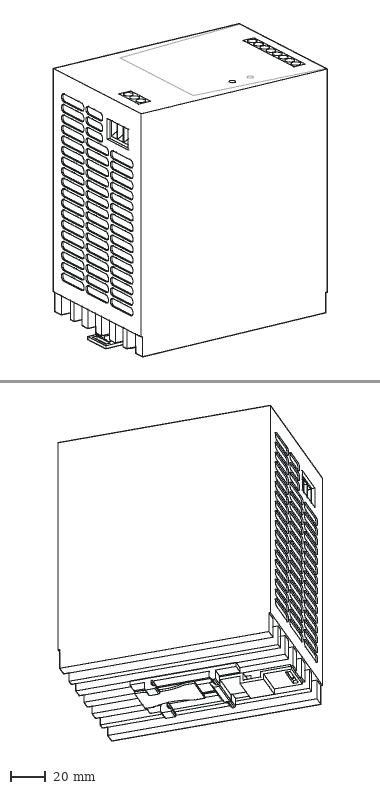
import cadquery as cq


width = 90.0
depth = 130.0
top_z = 150.1
front_y = -depth / 2
back_y = depth / 2
fin_height = 12.5
fin_end_inset = 1.0
outer_fin_width = 7.0
thin_fin_width = 4.0
thick_fin_width = 6.0
thin_fin_x = 27.0
thick_fin_x = 14.0

vent_rows = 18
vent_width = 23.0
vent_height = 5.0
vent_depth = 1.0
vent_column_pitch = 25.0
vent_row_span = 110.5
vent_row_pitch = vent_row_span / (vent_rows - 1)
top_vent_z = 135.3
short_vent_rows = 3
short_vent_width = 17.0

label_back_width = 87.7
label_front_width = 74.6
label_front_y = -23.5
light_diameter = 3.7
light_x = 31.0
light_y = 20.7
trimmer_y = 8.3
trimmer_diameter = light_diameter
trimmer_depth = 3.2
trimmer_slot_width = 1.0
trimmer_slot_depth = 0.8
trimmer_slot_angle = -25
outline_depth = 1.6

terminal_pitch = 6.4
block_end_walls = 1.1
screw_hole_diameter = 5.6
screw_hole_depth = 8.0
output_count = 8
output_x = 5.1
output_y = 55.0
output_block_depth = 7.7
input_count = 3
input_x = 20.9
input_y = -53.1
input_block_depth = 8.3
input_back_y = input_y + input_block_depth / 2

opening_width = 21.7
opening_bottom_z = 123.6
opening_top_z = 136.4
opening_recess = 1.9
input_face_y = front_y + opening_recess
entry_width = 5.7
entry_bottom_z = 125.5
entry_top_z = 135.1
entry_depth = 6.7
entry_back_width = 3.5
entry_back_bottom_z = 130.0
entry_back_top_z = 134.3

adapter_thickness = 2.7
adapter_back_y = 30.8
rail_width = 7.0
rail_front_y = -34.3
hook_back_y = 21.9
hook_root_y = 17.9
hook_ramp_y = 16.1
hook_tip_y = 14.8
hook_bottom_z = -7.8
hook_top_z = -5.9
hook_relief_y = 16.6
hook_relief_height = 0.6
lug_back_y = -17.7
lug_front_y = -21.5
lug_bottom_z = -8.6
lug_bevel = 2.0
corner_bevel = 0.6
foot_width = 9.5
foot_front_y = -63.0
foot_bevel_y = -60.5
foot_bevel_z = -1.5
finger_back_y = -38.8
finger_bottom_z = -5.9
pad_width = 18.5
pad_bottom_z = -4.0
pad_front_y = -5.7
waist_back_y = 25.7
waist_front_y = 0.6
waist_depth = 2.7
latch_width = pad_width
latch_sheet = 1.9
tab_overhang = 0.3
latch_front_y = front_y - tab_overhang
latch_bottom_z = -9.4
tab_top_z = pad_bottom_z
tab_slot_width = 13.7
tab_slot_back_y = -60.6
tab_slot_front_y = -63.6
catch_back_y = -17.0
catch_neck_z = -4.5
catch_tip_y = -15.2
catch_tip_z = -5.7
catch_heel_y = -17.5
catch_bottom_z = -9.0
loop_back_y = -33.7
loop_front_y = -48.2


def box(x_min, x_max, y_min, y_max, z_min, z_max):
    """Box between the given limits."""
    size = (x_max - x_min, y_max - y_min, z_max - z_min)
    return cq.Workplane("XY").box(*size, centered=False).translate((x_min, y_min, z_min))


def side_profile(points, thickness, x_centre=0):
    """Outline of (y, z) points extruded along X, centred on x_centre."""
    outline = cq.Workplane("YZ").polyline(points).close()
    return outline.extrude(thickness / 2, both=True).translate((x_centre, 0, 0))


def make_shell():
    """Housing block standing on seven full-depth cooling fins."""
    shell = box(-width / 2, width / 2, front_y, back_y, fin_height, top_z)
    outer_fin_x = (width - outer_fin_width) / 2
    fins = [(0, thick_fin_width)]
    for side in (-1, 1):
        fins.append((side * outer_fin_x, outer_fin_width))
        fins.append((side * thin_fin_x, thin_fin_width))
        fins.append((side * thick_fin_x, thick_fin_width))
    for x, fin_width in fins:
        fin_front = front_y + fin_end_inset
        fin_back = back_y - fin_end_inset
        fin = box(x - fin_width / 2, x + fin_width / 2, fin_front, fin_back, 0, fin_height)
        shell = shell.union(fin)
    return shell


def make_vents():
    """Three columns of blind slots; the wire opening shortens or removes the top rows."""
    full_centres = []
    short_centres = []
    short_x = (short_vent_width - vent_width) / 2
    for row in range(vent_rows):
        z = top_vent_z - row * vent_row_pitch
        full_centres.append((-vent_column_pitch, z))
        if row < short_vent_rows:
            short_centres.append((short_x, z))
        else:
            full_centres.append((0, z))
            full_centres.append((vent_column_pitch, z))
    plane = cq.Workplane("XZ", origin=(0, front_y, 0))
    full = plane.pushPoints(full_centres).slot2D(vent_width, vent_height).extrude(-vent_depth)
    short = plane.pushPoints(short_centres).slot2D(short_vent_width, vent_height).extrude(-vent_depth)
    return full, short


def make_trimmer():
    """Round hole with a tilted screwdriver slot in its floor."""
    floor = cq.Workplane("XY", origin=(light_x, trimmer_y, top_z - trimmer_depth))
    hole = floor.circle(trimmer_diameter / 2).extrude(trimmer_depth)
    slot = (
        floor.transformed(rotate=(0, 0, trimmer_slot_angle))
        .rect(trimmer_diameter, trimmer_slot_width)
        .extrude(-trimmer_slot_depth)
    )
    slot = slot.intersect(floor.circle(trimmer_diameter / 2).extrude(-trimmer_slot_depth))
    return hole.union(slot)


def mark_outline(body, plug):
    """Split the flush top face along a plug's outline; cleaning would merge the faces again."""
    return body.cut(plug, clean=False).union(plug, clean=False)


def make_label_plug():
    """Trapezoid that widens towards the back edge of the top face."""
    return (
        cq.Workplane("XY", origin=(0, 0, top_z))
        .polyline(
            [
                (-label_front_width / 2, label_front_y),
                (label_front_width / 2, label_front_y),
                (label_back_width / 2, back_y),
                (-label_back_width / 2, back_y),
            ]
        )
        .close()
        .extrude(-outline_depth)
    )


def make_light_plug():
    """Disc of the flush status light."""
    light = cq.Workplane("XY", origin=(light_x, light_y, top_z))
    return light.circle(light_diameter / 2).extrude(-outline_depth)


def make_block_body(count, x, y, block_depth):
    """Plain terminal block, flush with the top face."""
    half_length = (count * terminal_pitch + block_end_walls) / 2
    half_depth = block_depth / 2
    return box(x - half_length, x + half_length, y - half_depth, y + half_depth, opening_bottom_z, top_z)


def terminal_positions(count, x):
    """X of each terminal in a block centred on x."""
    return [x + (i - (count - 1) / 2) * terminal_pitch for i in range(count)]


def drill_screw_holes(block, count, x, y):
    """Row of blind screw holes in the top of a block."""
    centres = [(terminal_x, y) for terminal_x in terminal_positions(count, x)]
    holes = (
        cq.Workplane("XY", origin=(0, 0, top_z))
        .pushPoints(centres)
        .circle(screw_hole_diameter / 2)
        .extrude(-screw_hole_depth)
    )
    return block.cut(holes)


def make_input_body():
    """Input block outline: a screw tower with a foot that fills the front opening."""
    tower = make_block_body(input_count, input_x, input_y, input_block_depth)
    foot = box(
        input_x - opening_width / 2,
        input_x + opening_width / 2,
        input_face_y,
        input_back_y,
        opening_bottom_z,
        opening_top_z,
    )
    return tower.union(foot)


def make_front_opening():
    """Recess between the front face of the housing and the input block."""
    return box(
        input_x - opening_width / 2,
        input_x + opening_width / 2,
        front_y,
        input_face_y,
        opening_bottom_z,
        opening_top_z,
    )


def make_wire_entry(x):
    """Tapered pocket with a ramped floor in the front of the input block."""
    front_z = (entry_bottom_z + entry_top_z) / 2
    back_z = (entry_back_bottom_z + entry_back_top_z) / 2
    return (
        cq.Workplane("XZ", origin=(x, input_face_y, front_z))
        .rect(entry_width, entry_top_z - entry_bottom_z)
        .workplane(offset=-entry_depth)
        .center(0, back_z - front_z)
        .rect(entry_back_width, entry_back_top_z - entry_back_bottom_z)
        .loft(combine=True)
    )


def make_output_block():
    """Eight-way terminal block at the back of the top face."""
    block = make_block_body(output_count, output_x, output_y, output_block_depth)
    return drill_screw_holes(block, output_count, output_x, output_y)


def make_input_block():
    """Three-way terminal block with wire entries at the front."""
    block = drill_screw_holes(make_input_body(), input_count, input_x, input_y)
    for x in terminal_positions(input_count, input_x):
        block = block.cut(make_wire_entry(x))
    return block


def make_housing():
    """Finned housing with vents, trimmer hole and the terminal block recesses."""
    housing = make_shell()
    for vents in make_vents():
        housing = housing.cut(vents)
    housing = housing.cut(make_trimmer())
    housing = mark_outline(housing, make_label_plug().cut(make_trimmer()))
    housing = mark_outline(housing, make_light_plug())
    housing = housing.cut(make_block_body(output_count, output_x, output_y, output_block_depth), clean=False)
    housing = housing.cut(make_input_body(), clean=False)
    return housing.cut(make_front_opening(), clean=False)


def make_rail(x):
    """Adapter rail with a fixed hook at the back and a shorter lug at the front."""
    hook_ramp = hook_root_y - hook_ramp_y
    relief_top_y = hook_relief_y + hook_relief_height
    points = [
        (adapter_back_y, 0),
        (adapter_back_y, -adapter_thickness),
        (hook_back_y, -adapter_thickness),
        (hook_back_y, hook_bottom_z + corner_bevel),
        (hook_back_y - corner_bevel, hook_bottom_z),
        (hook_tip_y + corner_bevel, hook_bottom_z),
        (hook_tip_y, hook_bottom_z + corner_bevel),
        (hook_tip_y, hook_top_z),
        (hook_ramp_y, hook_top_z),
        (hook_root_y, hook_top_z + hook_ramp),
        (hook_root_y, -adapter_thickness),
        (relief_top_y, -adapter_thickness + hook_relief_height),
        (hook_relief_y, -adapter_thickness),
        (lug_back_y, -adapter_thickness),
        (lug_back_y, lug_bottom_z + lug_bevel),
        (lug_back_y - lug_bevel, lug_bottom_z),
        (lug_front_y + corner_bevel, lug_bottom_z),
        (lug_front_y, lug_bottom_z + corner_bevel),
        (lug_front_y, -adapter_thickness),
        (rail_front_y, -adapter_thickness),
        (rail_front_y, 0),
    ]
    return side_profile(points, rail_width, x)


def make_pad():
    """Flat waisted pad under the back of the centre foot."""
    edge_x = pad_width / 2
    waist_x = edge_x - waist_depth
    waist_y = (waist_back_y + waist_front_y) / 2
    return (
        cq.Workplane("XY", origin=(0, 0, -adapter_thickness))
        .moveTo(-edge_x, adapter_back_y)
        .lineTo(-edge_x, waist_back_y)
        .threePointArc((-waist_x, waist_y), (-edge_x, waist_front_y))
        .lineTo(-edge_x, pad_front_y)
        .lineTo(edge_x, pad_front_y)
        .lineTo(edge_x, waist_front_y)
        .threePointArc((waist_x, waist_y), (edge_x, waist_back_y))
        .lineTo(edge_x, adapter_back_y)
        .close()
        .extrude(pad_bottom_z + adapter_thickness)
    )


def make_centre_foot():
    """Centre bar with the pad, a finger inside the latch loop and a bevelled front."""
    finger_front_y = loop_front_y + latch_sheet
    points = [
        (adapter_back_y, 0),
        (adapter_back_y, -adapter_thickness),
        (finger_back_y, -adapter_thickness),
        (finger_back_y, finger_bottom_z),
        (finger_front_y, finger_bottom_z),
        (finger_front_y, tab_top_z),
        (foot_bevel_y, tab_top_z),
        (foot_front_y, foot_bevel_z),
        (foot_front_y, 0),
    ]
    return side_profile(points, foot_width).union(make_pad())


def make_latch():
    """Bent sheet: catch at the back, U-shaped loop, then a slotted pull tab at the front."""
    strip_bottom_z = -adapter_thickness - latch_sheet
    tab_bottom_z = tab_top_z - latch_sheet
    points = [
        (catch_back_y, -adapter_thickness),
        (catch_back_y, catch_neck_z),
        (catch_tip_y, catch_tip_z),
        (catch_heel_y, catch_bottom_z),
        (lug_front_y + corner_bevel, catch_bottom_z),
        (lug_front_y, catch_bottom_z + corner_bevel),
        (lug_front_y, strip_bottom_z),
        (loop_back_y, strip_bottom_z),
        (loop_back_y, latch_bottom_z),
        (loop_front_y, latch_bottom_z),
        (loop_front_y, tab_bottom_z),
        (latch_front_y, tab_bottom_z),
        (latch_front_y, tab_top_z),
        (loop_front_y + latch_sheet, tab_top_z),
        (loop_front_y + latch_sheet, latch_bottom_z + latch_sheet),
        (loop_back_y - latch_sheet, latch_bottom_z + latch_sheet),
        (loop_back_y - latch_sheet, -adapter_thickness),
    ]
    sheet = side_profile(points, latch_width)
    half_slot = tab_slot_width / 2
    slot = box(-half_slot, half_slot, tab_slot_front_y, tab_slot_back_y, tab_bottom_z, tab_top_z)
    return sheet.cut(slot)


housing = make_housing()
output_block = make_output_block()
input_block = make_input_block()
rails = [make_rail(side * thick_fin_x) for side in (-1, 1)]
centre_foot = make_centre_foot()
latch = make_latch()

result = cq.Compound.makeCompound(
    [
        housing.val(),
        output_block.val(),
        input_block.val(),
        *[rail.val() for rail in rails],
        centre_foot.val(),
        latch.val(),
    ]
)